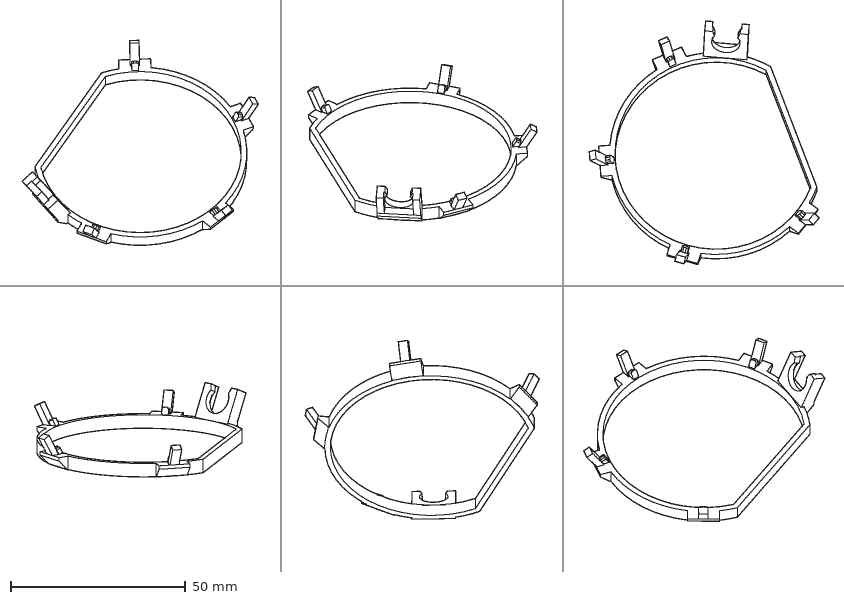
import cadquery as cq
import math

RING_INNER_RADIUS = 29.0
WALL = 1.6
RING_OUTER_RADIUS = RING_INNER_RADIUS + WALL
RING_HEIGHT = 4.0
FLAT_X = -23.7

PAD_INNER = 29.3
PAD_OUTER = 33.5
PAD_EDGE = 1.0

FINGER_COUNT = 4
FIRST_FINGER_ANGLE = -85.1
FINGER_STEP = 69.1
FINGER_PAD_WIDTH = 9.2
FINGER_WIDTH = 2.7
FINGER_THICKNESS = 2.05
FINGER_TOP = 10.1
FINGER_LEAN = 30

NUB_WIDTH = 2.0
NUB_DEPTH = 1.5
NUB_TOP = 6.05
NUB_BEVEL_WIDTH = 0.6
NUB_BEVEL_DROP = 0.3

SOCKET_ANGLE = -115
SOCKET_WIDTH = 12.55
SOCKET_THICKNESS = 4.0
SOCKET_TOP = 13.5
SOCKET_LEAN = 25
SLOT_WIDTH = 8.4
SLOT_DEPTH = 2.05
SEAT_RADIUS = 4.1
SEAT_CENTRE_HEIGHT = 4.5
FLARE_WIDTH = 7.9
THROAT_WIDTH = 6.65


def flat_sided_disc(radius, flat_x):
    """Disc of the ring height with its -X side cut straight at flat_x."""
    flat_half = math.sqrt(radius**2 - flat_x**2)
    return (
        cq.Workplane("XY")
        .moveTo(flat_x, -flat_half)
        .threePointArc((radius, 0), (flat_x, flat_half))
        .close()
        .extrude(RING_HEIGHT)
    )


def extrude_profile(points, width):
    """Solid from an outline of (radius, height) points, centred on the XZ plane."""
    return cq.Workplane("XZ").polyline(points).close().extrude(width / 2, both=True)


def pad(width):
    """Ledge outside the ring with a 45 degree underside."""
    underside = RING_HEIGHT - PAD_EDGE
    return extrude_profile(
        [
            (PAD_INNER, 0),
            (PAD_OUTER - underside, 0),
            (PAD_OUTER, underside),
            (PAD_OUTER, RING_HEIGHT),
            (PAD_INNER, RING_HEIGHT),
        ],
        width,
    )


def leaning_frame(lean, depth=0):
    """Plane of a leaning bar: local Y runs up the lean, local Z runs inward.

    At depth 0 its origin is the middle of the pad's top outer edge.
    """
    angle = math.radians(lean)
    frame = cq.Plane(
        origin=(PAD_OUTER, 0, RING_HEIGHT),
        xDir=(0, -1, 0),
        normal=(-math.cos(angle), 0, math.sin(angle)),
    )
    return cq.Workplane(frame).workplane(offset=depth)


def length_up_lean(lean, depth, top):
    """Local Y in the leaning frame of a point at the given depth and height."""
    angle = math.radians(lean)
    return (top - RING_HEIGHT - depth * math.sin(angle)) / math.cos(angle)


def leaning_bar(lean, width, thickness, top):
    """Bar leaning outward from the pad's outer edge, with a square-cut end."""
    angle = math.radians(lean)
    root_inner = PAD_OUTER - thickness / math.cos(angle)
    end_inner = root_inner + (top - RING_HEIGHT) * math.tan(angle)
    end_outer = end_inner + thickness * math.cos(angle)
    end_outer_height = top - thickness * math.sin(angle)
    return extrude_profile(
        [
            (root_inner, RING_HEIGHT),
            (PAD_OUTER, RING_HEIGHT),
            (end_outer, end_outer_height),
            (end_inner, top),
        ],
        width,
    )


def nub():
    """Small block lying on the finger's inner face, its end bevelled on both sides."""
    inner_depth = FINGER_THICKNESS + NUB_DEPTH
    root = length_up_lean(FINGER_LEAN, inner_depth, RING_HEIGHT)
    end = length_up_lean(FINGER_LEAN, inner_depth, NUB_TOP)
    shoulder = end - NUB_BEVEL_DROP
    half = NUB_WIDTH / 2
    half_end = half - NUB_BEVEL_WIDTH
    outline = [
        (-half, root),
        (half, root),
        (half, shoulder),
        (half_end, end),
        (-half_end, end),
        (-half, shoulder),
    ]
    start_depth = FINGER_THICKNESS / 2
    return (
        leaning_frame(FINGER_LEAN, start_depth)
        .polyline(outline)
        .close()
        .extrude(inner_depth - start_depth)
    )


def finger():
    """Snap finger with its pad and nub, pointing along +X."""
    bar = leaning_bar(FINGER_LEAN, FINGER_WIDTH, FINGER_THICKNESS, FINGER_TOP)
    return pad(FINGER_PAD_WIDTH).union(bar).union(nub())


def socket():
    """Leaning socket with its pad, pointing along +X."""
    plate = leaning_bar(SOCKET_LEAN, SOCKET_WIDTH, SOCKET_THICKNESS, SOCKET_TOP)
    plate_length = length_up_lean(SOCKET_LEAN, SOCKET_THICKNESS, SOCKET_TOP)

    slot = (
        leaning_frame(SOCKET_LEAN)
        .center(0, plate_length / 2)
        .rect(SLOT_WIDTH, plate_length)
        .extrude(SLOT_DEPTH)
    )
    seat = (
        leaning_frame(SOCKET_LEAN)
        .center(0, SEAT_CENTRE_HEIGHT)
        .circle(SEAT_RADIUS)
        .extrude(SOCKET_THICKNESS)
    )

    throat_half = THROAT_WIDTH / 2
    flare_half = FLARE_WIDTH / 2
    throat_height = SEAT_CENTRE_HEIGHT + math.sqrt(SEAT_RADIUS**2 - throat_half**2)
    mouth = (
        leaning_frame(SOCKET_LEAN)
        .moveTo(-throat_half, SEAT_CENTRE_HEIGHT)
        .lineTo(throat_half, SEAT_CENTRE_HEIGHT)
        .lineTo(throat_half, throat_height)
        .lineTo(flare_half, plate_length)
        .lineTo(-flare_half, plate_length)
        .lineTo(-throat_half, throat_height)
        .close()
        .extrude(SOCKET_THICKNESS)
    )
    return pad(SOCKET_WIDTH).union(plate.cut(slot).cut(seat).cut(mouth))


def turned(body, angle):
    """Body swung about the ring's axis by an angle in degrees."""
    return body.rotate((0, 0, 0), (0, 0, 1), angle)


ring = flat_sided_disc(RING_OUTER_RADIUS, FLAT_X).cut(
    flat_sided_disc(RING_INNER_RADIUS, FLAT_X + WALL)
)
result = ring.union(turned(socket(), SOCKET_ANGLE))
for index in range(FINGER_COUNT):
    result = result.union(turned(finger(), FIRST_FINGER_ANGLE + index * FINGER_STEP))